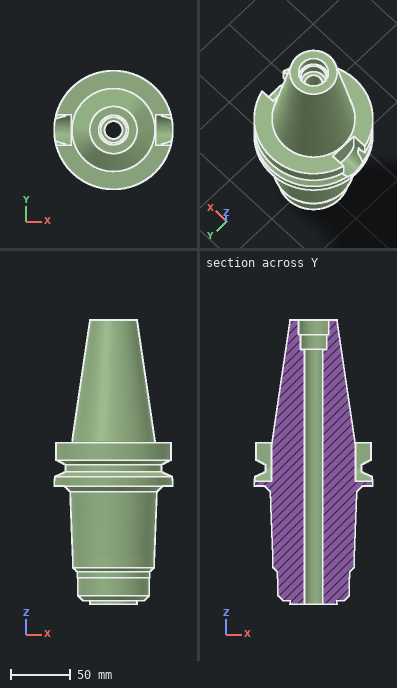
import cadquery as cq

length = 239.2
flange_radius = 50.0

taper_tip_radius = 19.9
taper_base_radius = 35.0
taper_base_z = 137.3

flange_top_z = 135.9
flange_bottom_z = 99.3
groove_radius = 42.3
groove_upper_edge_z = 121.3
groove_floor_top_z = 117.2
groove_floor_bottom_z = 111.2
groove_lower_edge_z = 107.5

body_shoulder_radius = 41.5
body_top_radius = 36.5
body_shoulder_z = 94.5
body_radius = 34.5
body_cone_end_z = 38.8
body_bottom_z = 30.9

collar_radius = 30.5
collar_top_z = 27.3
nose_radius = 30.1
nose_top_z = 22.2
nose_chamfer_z = 7.2
nose_end_radius = 25.8
nose_end_z = 2.9
tip_radius = 19.9

mouth_radius = 12.5
mouth_depth = 12.5
pilot_radius = 10.8
pilot_depth = 24.9
through_radius = 7.5

slot_width = 25.4
slot_floor_x = 35.5
slot_bottom_z = 103.5


def make_body():
    """Revolve the outer half profile, listed from the nose tip upward."""
    profile = [
        (0, 0),
        (tip_radius, 0),
        (tip_radius, nose_end_z),
        (nose_end_radius, nose_end_z),
        (nose_radius, nose_chamfer_z),
        (nose_radius, nose_top_z),
        (collar_radius, nose_top_z),
        (collar_radius, collar_top_z),
        (body_radius, body_bottom_z),
        (body_radius, body_cone_end_z),
        (body_top_radius, body_shoulder_z),
        (body_shoulder_radius, flange_bottom_z),
        (flange_radius, flange_bottom_z),
        (flange_radius, groove_lower_edge_z),
        (groove_radius, groove_floor_bottom_z),
        (groove_radius, groove_floor_top_z),
        (flange_radius, groove_upper_edge_z),
        (flange_radius, flange_top_z),
        (taper_base_radius, flange_top_z),
        (taper_base_radius, taper_base_z),
        (taper_tip_radius, length),
        (0, length),
    ]
    return cq.Workplane("XZ").polyline(profile).close().revolve(360, (0, 0, 0), (0, 1, 0))


def make_bore(radius, depth):
    """Round cutter going down from the small end of the taper."""
    return cq.Workplane("XY").workplane(offset=length - depth).circle(radius).extrude(depth)


def make_drive_slot(side):
    """Round-bottomed cutter for the slot on the +X (1) or -X (-1) side."""
    half_width = slot_width / 2
    arc_center_z = slot_bottom_z + half_width
    return (
        cq.Workplane("YZ", origin=(side * slot_floor_x, 0, 0))
        .moveTo(-half_width, flange_top_z)
        .lineTo(-half_width, arc_center_z)
        .threePointArc((0, slot_bottom_z), (half_width, arc_center_z))
        .lineTo(half_width, flange_top_z)
        .close()
        .extrude(side * flange_radius)
    )


result = make_body()
bore_steps = [
    (mouth_radius, mouth_depth),
    (pilot_radius, pilot_depth),
    (through_radius, length),
]
for bore_radius, bore_depth in bore_steps:
    result = result.cut(make_bore(bore_radius, bore_depth))
for slot_side in (-1, 1):
    result = result.cut(make_drive_slot(slot_side))